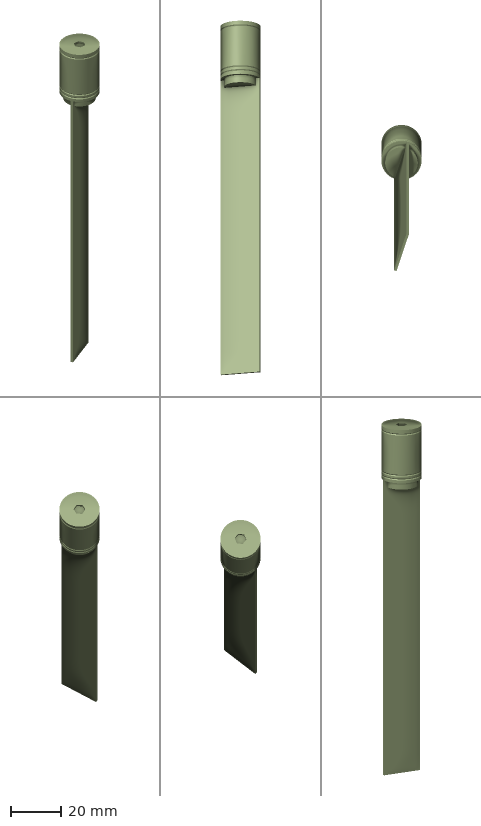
import cadquery as cq

total_height = 144.0
barrel_diameter = 16.0
barrel_radius = barrel_diameter / 2

top_groove_depth = 1.9
split_depth = 18.9
collar_groove_depth = 20.5
collar_bottom_depth = 22.0
stub_bottom_depth = 25.0

groove_half_width = 0.36
groove_inset = 0.3
groove_root_radius = barrel_radius - groove_inset

socket_across_flats = 4.0
socket_depth = 1.0

stub_diameter = 13.0
blade_thickness = 1.0
blade_width = barrel_diameter

top_groove_z = total_height - top_groove_depth
split_z = total_height - split_depth
collar_groove_z = total_height - collar_groove_depth
collar_bottom_z = total_height - collar_bottom_depth
stub_bottom_z = total_height - stub_bottom_depth


def revolve_profile(points):
    """Turn a closed (radius, Z) profile around the Z axis."""
    return cq.Workplane("XZ").polyline(points).close().revolve(360, (0, 0, 0), (0, 1, 0))


def groove_points(groove_z):
    """Profile points of one V groove, listed upwards."""
    return [
        (barrel_radius, groove_z - groove_half_width),
        (groove_root_radius, groove_z),
        (barrel_radius, groove_z + groove_half_width),
    ]


def make_barrel():
    """Upper barrel with a V groove near the top, a bevelled lower rim and a hex socket."""
    barrel = revolve_profile([
        (0, split_z),
        (groove_root_radius, split_z),
        (barrel_radius, split_z + groove_half_width),
        *groove_points(top_groove_z),
        (barrel_radius, total_height),
        (0, total_height),
    ])
    socket = (
        cq.Workplane("XY", origin=(0, 0, total_height - socket_depth))
        .transformed(rotate=(0, 0, 90))
        .polygon(6, socket_across_flats, circumscribed=True)
        .extrude(socket_depth)
    )
    return barrel.cut(socket)


def make_holder():
    """Lower collar with a bevelled upper rim, a V groove and a stub slotted for the blade."""
    stub_radius = stub_diameter / 2
    holder = revolve_profile([
        (0, stub_bottom_z),
        (stub_radius, stub_bottom_z),
        (stub_radius, collar_bottom_z),
        (barrel_radius, collar_bottom_z),
        *groove_points(collar_groove_z),
        (barrel_radius, split_z - groove_half_width),
        (groove_root_radius, split_z),
        (0, split_z),
    ])
    return holder.cut(make_blade())


def make_blade():
    """Flat blade whose upper end meets the underside of the collar."""
    return cq.Workplane("XY").box(
        blade_thickness, blade_width, collar_bottom_z, centered=(True, True, False)
    )


barrel = make_barrel()
holder = make_holder()
blade = make_blade()

result = cq.Compound.makeCompound([barrel.val(), holder.val(), blade.val()])